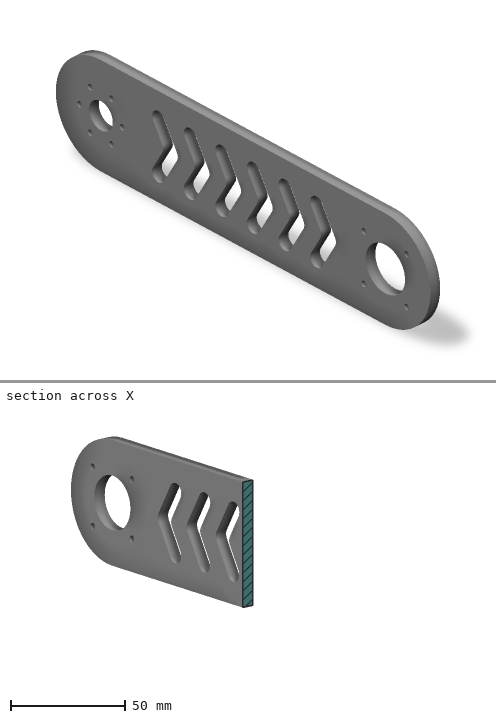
import cadquery as cq
import math

length = 237.0
width = 57.0
thickness = 6.0
eye_x = (length - width) / 2

small_bore_diameter = 15.0
ring_hole_count = 6
ring_radius = 13.5

large_bore_diameter = 25.0
square_pitch = 27.0
screw_diameter = 3.0

chevron_count = 6
row_span = 100.0
chevron_pitch = row_span / (chevron_count - 1)
first_chevron_x = -53.5
arm_height = 14.2
arm_radius = 4.0
arm_lean = math.radians(30)
bend_fillet = 4.0


def prism(sketch):
    """Extrude an XZ sketch through the plate, centred on Y = 0."""
    return sketch.extrude(thickness / 2, both=True)


def round_holes(points, diameter):
    return prism(cq.Workplane("XZ").pushPoints(points).circle(diameter / 2))


def chevron():
    """Chevron window with its arm end centres at X = 0."""
    apex_x = arm_height * math.tan(arm_lean)
    apex_offset = arm_radius / math.cos(arm_lean)
    side_x = arm_radius * math.cos(arm_lean)
    side_z = arm_radius * math.sin(arm_lean)
    tip_x = -arm_radius * math.sin(arm_lean)
    tip_z = arm_height + arm_radius * math.cos(arm_lean)
    outline = (
        cq.Workplane("XZ")
        .moveTo(apex_x + apex_offset, 0)
        .lineTo(side_x, arm_height + side_z)
        .threePointArc((tip_x, tip_z), (-side_x, arm_height - side_z))
        .lineTo(apex_x - apex_offset, 0)
        .lineTo(-side_x, side_z - arm_height)
        .threePointArc((tip_x, -tip_z), (side_x, -arm_height - side_z))
        .close()
    )
    bend_edges = cq.selectors.BoxSelector(
        (0, -thickness, -side_z),
        (apex_x + 2 * apex_offset, thickness, side_z),
    )
    return prism(outline).edges(bend_edges).fillet(bend_fillet)


plate = prism(cq.Workplane("XZ").slot2D(length, width))

ring_points = []
for i in range(ring_hole_count):
    angle = 2 * math.pi * i / ring_hole_count
    ring_points.append((-eye_x + ring_radius * math.cos(angle), ring_radius * math.sin(angle)))
plate = plate.cut(round_holes([(-eye_x, 0)], small_bore_diameter))
plate = plate.cut(round_holes(ring_points, screw_diameter))

square_points = [
    (eye_x + side * square_pitch / 2, level * square_pitch / 2)
    for side in (-1, 1)
    for level in (-1, 1)
]
plate = plate.cut(round_holes([(eye_x, 0)], large_bore_diameter))
plate = plate.cut(round_holes(square_points, screw_diameter))

window = chevron()
for i in range(chevron_count):
    plate = plate.cut(window.translate((first_chevron_x + i * chevron_pitch, 0, 0)))

result = plate